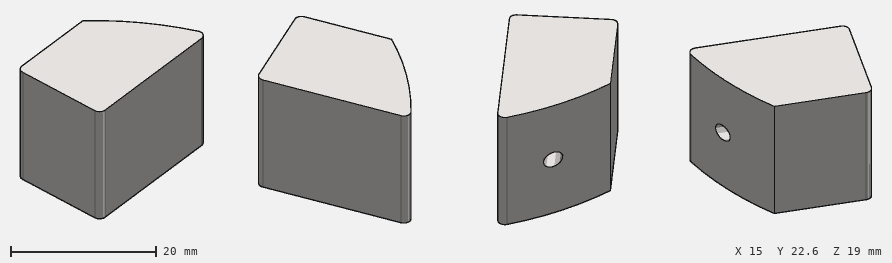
import cadquery as cq
import math

width = 15.0
length = 22.6
height = 19.0
short_side = 14.01
curve_radius = 45.2
corner_radius = 1.0
hole_diameter = 2.5
hole_depth = 9.95

corner_x = width - corner_radius
corner_y = length - corner_radius

to_corner = curve_radius - corner_radius
span = math.hypot(corner_x, corner_y - short_side)
along = (curve_radius**2 - to_corner**2 + span**2) / (2 * span)
across = math.sqrt(curve_radius**2 - along**2)
span_x = corner_x / span
span_y = (corner_y - short_side) / span
center_x = along * span_x + across * span_y
center_y = short_side + along * span_y - across * span_x


def curve_point(x):
    """Point of the curved end at the given X."""
    return (x, center_y + math.sqrt(curve_radius**2 - (x - center_x) ** 2))


def make_block():
    """Extruded outline with a curved end and three rounded corners."""
    tangent_x = center_x + (corner_x - center_x) * curve_radius / to_corner
    diagonal = corner_radius * math.sqrt(0.5)
    block = (
        cq.Workplane("XY")
        .moveTo(0, short_side)
        .lineTo(0, 0)
        .lineTo(width, 0)
        .lineTo(width, corner_y)
        .threePointArc((corner_x + diagonal, corner_y + diagonal), curve_point(tangent_x))
        .threePointArc(curve_point(tangent_x / 2), (0, short_side))
        .close()
        .extrude(height)
    )
    return block.faces("<Y").edges("|Z").fillet(corner_radius)


def make_hole():
    """Blind hole along Y, centred on the width and height."""
    mouth_y = curve_point(width / 2)[1]
    bottom_y = mouth_y - hole_depth
    return (
        cq.Workplane("XZ", origin=(width / 2, bottom_y, height / 2))
        .circle(hole_diameter / 2)
        .extrude(-(length - bottom_y))
    )


result = make_block().cut(make_hole())